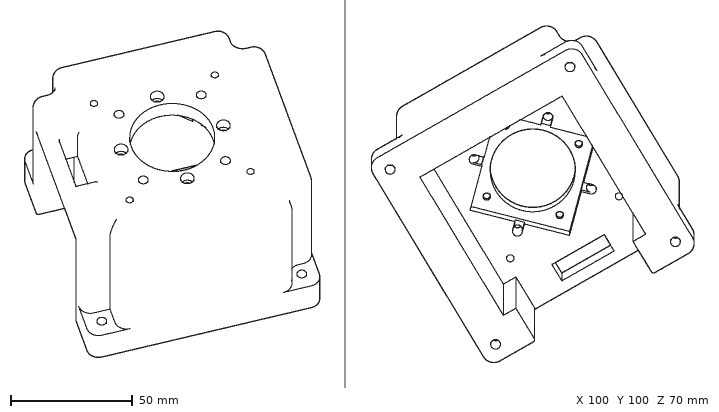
import cadquery as cq
import math

side = 100.0
height = 70.0
edge_radius = 5.0
half = side / 2

foot_height = 15.0
notch_size = 12.0
notch_edge = half - notch_size
notch_corner_radius = 5.0
foot_hole_diameter = 4.0
foot_hole_offset = notch_edge + edge_radius

notch_wall = 4.0
cavity_side = 2 * (notch_edge - notch_wall)
ceiling_z = 55.0
doorway_width = 56.0
rim_radius = 1.0

motor_pocket_side = 42.4
motor_pocket_floor_z = 62.0
motor_bore_diameter = 35.1
screw_circle_radius = 22.0
screw_diameter = 3.0
screw_head_diameter = 5.6
screw_head_depth = 5.0

vent_hole_diameter = 4.0
vent_circle_radius = 25.0
vent_hole_offset = vent_circle_radius / math.sqrt(2)
groove_width = vent_hole_diameter
groove_depth = 3.0
outer_hole_offset = 26.0

window_width = 25.0
window_depth = 8.0
window_center_y = -41.0

tolerance = 0.01


def box(width, depth, bottom_z, top_z):
    """Block centred on the Z axis between two heights."""
    block = cq.Workplane("XY").workplane(offset=bottom_z).rect(width, depth)
    return block.extrude(top_z - bottom_z)


def corners(offset):
    """Four points on the diagonals of the XY plane."""
    return [(sx * offset, sy * offset) for sx in (-1, 1) for sy in (-1, 1)]


def drill(part, points, diameter, bottom_z=0.0):
    """Cut vertical holes from bottom_z up through the top face."""
    holes = cq.Workplane("XY").workplane(offset=bottom_z).pushPoints(points)
    return part.cut(holes.circle(diameter / 2).extrude(height - bottom_z))


def make_housing():
    """Square block with notched corners and rounded top edges."""
    housing = box(side, side, foot_height, height)
    notches = cq.Workplane("XY").workplane(offset=foot_height).pushPoints(corners(half))
    housing = housing.cut(notches.rect(2 * notch_size, 2 * notch_size).extrude(height))

    for sx, sy in ((-1, -1), (-1, 1), (1, 1)):
        nearest = cq.selectors.NearestToPointSelector(
            (sx * notch_edge, sy * notch_edge, (foot_height + height) / 2)
        )
        housing = housing.edges(nearest).fillet(notch_corner_radius)

    for face in ("<X", ">X"):
        housing = housing.faces(face).edges("|Z").fillet(edge_radius)
    for face in ("<Y", ">Y"):
        housing = housing.faces(face).edges("|Z").fillet(edge_radius)
    return housing.faces(">Z").edges().fillet(edge_radius)


def make_base():
    """Square plinth whose exposed corners are the screw feet."""
    return box(side, side, 0.0, foot_height).edges("|Z").fillet(edge_radius)


def cut_doorway(part):
    """Open the front wall and round the front rim of the opening."""
    passage = box(doorway_width, half, 0.0, ceiling_z).translate((0, -half / 2, 0))
    part = part.cut(passage)
    rim_box = cq.selectors.BoxSelector(
        (-doorway_width / 2 - tolerance, -half - tolerance, tolerance),
        (doorway_width / 2 + tolerance, -half + tolerance, ceiling_z + tolerance),
    )
    return part.edges(rim_box).fillet(rim_radius)


def cut_window(part):
    """Open the top above the doorway and round the upper rim of the opening."""
    opening = box(window_width, window_depth, ceiling_z - rim_radius, height)
    part = part.cut(opening.translate((0, window_center_y, 0)))
    reach_x = window_width / 2 + tolerance
    reach_y = window_depth / 2 + tolerance
    rim_box = cq.selectors.BoxSelector(
        (-reach_x, window_center_y - reach_y, height - tolerance),
        (reach_x, window_center_y + reach_y, height + tolerance),
    )
    return part.edges(rim_box).fillet(rim_radius)


def make_motor_pocket():
    """Turned square pocket in the ceiling, with a groove from each side to a vent hole."""
    pocket = box(motor_pocket_side, motor_pocket_side, ceiling_z, motor_pocket_floor_z)
    groove_length = 2 * vent_circle_radius + groove_width
    for angle in (0, 90):
        groove = cq.Workplane("XY").workplane(offset=ceiling_z).slot2D(groove_length, groove_width, angle)
        pocket = pocket.union(groove.extrude(groove_depth))
    return pocket.rotate((0, 0, 0), (0, 0, 1), 45)


def cut_holes(part):
    """Central bore, motor screws, vent holes, outer holes and foot holes."""
    motor_screws = [
        (screw_circle_radius, 0),
        (-screw_circle_radius, 0),
        (0, screw_circle_radius),
        (0, -screw_circle_radius),
    ]
    part = drill(part, [(0, 0)], motor_bore_diameter)
    part = drill(part, motor_screws, screw_diameter)
    part = drill(part, motor_screws, screw_head_diameter, height - screw_head_depth)
    part = drill(part, corners(vent_hole_offset), vent_hole_diameter, ceiling_z + groove_depth)
    part = drill(part, corners(outer_hole_offset), screw_diameter)
    return drill(part, corners(foot_hole_offset), foot_hole_diameter)


body = make_housing().union(make_base())
body = body.cut(box(cavity_side, cavity_side, 0.0, ceiling_z))
body = cut_window(cut_doorway(body))
body = body.cut(make_motor_pocket())
result = cut_holes(body)